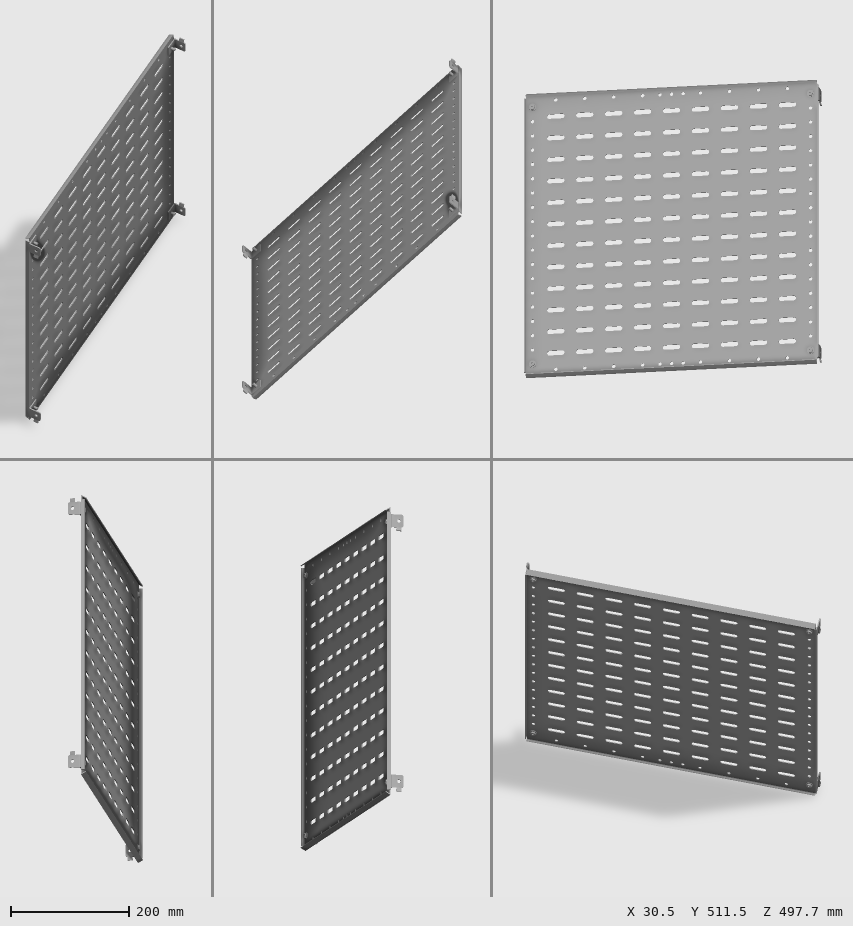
import cadquery as cq
import math


sheet = 1.5
panel_height = 497.66
lip_width = 502.0
lip_depth = 8.52
lip_slope = math.radians(30)
flange_span = 507.0
flange_height = 480.0
flange_depth = 6.8

column_pitch = 50.0
columns = 9
row_pitch = 37.7
rows = 12
slot_length = 30.0
slot_width = 8.0
hole_diameter = 6.0
end_hole_z = 236.0
end_hole_offsets = [0, 20, 50, 100, 150, 200]
side_hole_y = 240.0
side_hole_pitch = 25.0
side_holes = 17

bolt_y = side_hole_y
bolt_z = side_hole_pitch * (side_holes + 1) / 2
bolt_diameter = 5.0
bolt_tip = 9.3
collar_diameter = 12.5
collar_height = 1.0
head_flats = 8.0
head_height = 4.0
socket_diameter = 3.0
socket_depth = 2.0

bracket_sheet = 2.0
bracket_height = 22.0
bracket_reach = 22.0
bracket_outer_y = 254.0
bracket_total_y = 511.5
pad_inner_y = 231.0
bracket_corner = 3.0
bracket_bend = 2.5
tab_x = 14.2
tab_width = 8.5
tab_length = 6.1
tab_lean = bracket_total_y / 2 - bracket_outer_y
bracket_hole_diameter = 6.0


def web_and_lips():
    """Upright web with a sloping lip, its free edge cut square, at its top and bottom ends."""
    crest_z = panel_height / 2
    lip_edge_z = crest_z - lip_depth * math.tan(lip_slope)
    edge_run = sheet * math.sin(lip_slope)
    edge_drop = sheet * math.cos(lip_slope)

    inner_corner_z = crest_z - sheet * math.tan(lip_slope) - sheet / math.cos(lip_slope)

    half = (
        cq.Workplane("XZ", origin=(0, lip_width / 2, 0))
        .polyline([
            (0, 0),
            (0, crest_z),
            (-lip_depth, lip_edge_z),
            (edge_run - lip_depth, lip_edge_z - edge_drop),
            (-sheet, inner_corner_z),
            (-sheet, 0),
        ])
        .close()
        .extrude(lip_width)
    )
    return half.union(half.mirror("XY"))


def side_flange():
    """Flange at +Y, folded forward from the web and running back over its full thickness."""
    outer_y = flange_span / 2
    flange = cq.Workplane("XY").box(flange_depth, sheet, flange_height)
    flange = flange.translate((-flange_depth / 2, outer_y - sheet / 2, 0))
    root_width = (flange_span - lip_width) / 2
    root = cq.Workplane("XY").box(sheet, root_width, flange_height)
    return flange.union(root.translate((-sheet / 2, outer_y - root_width / 2, 0)))


def on_web(points):
    """Workplane on the front of the web holding the given (Y, Z) points."""
    return cq.Workplane("YZ", origin=(-sheet, 0, 0)).pushPoints(points)


def make_panel():
    flange = side_flange()
    panel = web_and_lips().union(flange).union(flange.mirror("XZ")).clean()

    slot_centres = [
        ((column - (columns - 1) / 2) * column_pitch, (row - (rows - 1) / 2) * row_pitch)
        for column in range(columns)
        for row in range(rows)
    ]
    end_centres = {
        (side * offset, end * end_hole_z)
        for offset in end_hole_offsets
        for side in (-1, 1)
        for end in (-1, 1)
    }
    side_centres = [
        (side * side_hole_y, (index - (side_holes - 1) / 2) * side_hole_pitch)
        for index in range(side_holes)
        for side in (-1, 1)
    ]
    bolt_centres = [(side * bolt_y, end * bolt_z) for side in (-1, 1) for end in (-1, 1)]

    return (
        panel
        .cut(on_web(slot_centres).slot2D(slot_length, slot_width).extrude(sheet))
        .cut(on_web(sorted(end_centres) + side_centres).circle(hole_diameter / 2).extrude(sheet))
        .cut(on_web(bolt_centres).circle(bolt_diameter / 2).extrude(sheet))
    )


def make_bolt():
    """Flanged hex bolt at Y = Z = 0, its head on the front of the web."""
    head_top_x = -sheet - head_height
    head_corners = head_flats / math.cos(math.pi / 6)
    collar = (
        cq.Workplane("YZ", origin=(-sheet - collar_height, 0, 0))
        .circle(collar_diameter / 2)
        .extrude(collar_height)
    )
    head = cq.Workplane("YZ", origin=(head_top_x, 0, 0)).polygon(6, head_corners).extrude(head_height)
    socket = cq.Workplane("YZ", origin=(head_top_x, 0, 0)).circle(socket_diameter / 2).extrude(socket_depth)
    shank = cq.Workplane("YZ", origin=(-sheet, 0, 0)).circle(bolt_diameter / 2).extrude(sheet + bolt_tip)
    return collar.union(head).cut(socket).union(shank)


def bracket_tab():
    """Tab on the top edge, leaning outward."""
    root_z = bracket_height / 2
    tip_z = root_z + tab_length
    tip_rise = bracket_sheet * tab_lean / math.hypot(tab_lean, tab_length)
    inner_y = bracket_outer_y - bracket_sheet
    return (
        cq.Workplane("YZ", origin=(tab_x - tab_width / 2, 0, 0))
        .polyline([
            (inner_y, root_z),
            (bracket_outer_y, root_z),
            (bracket_outer_y + tab_lean, tip_z),
            (inner_y + tab_lean, tip_z + tip_rise),
        ])
        .close()
        .extrude(tab_width)
    )


def make_bracket():
    """Angle bracket for the +Y side, centred on Z = 0: a pad behind the panel and an outstanding plate."""
    inner_radius = bracket_bend - bracket_sheet
    inner_y = bracket_outer_y - bracket_sheet
    angle = (
        cq.Workplane("XY", origin=(0, 0, -bracket_height / 2))
        .moveTo(0, pad_inner_y)
        .lineTo(0, bracket_outer_y - bracket_bend)
        .radiusArc((bracket_bend, bracket_outer_y), bracket_bend)
        .lineTo(bracket_reach, bracket_outer_y)
        .lineTo(bracket_reach, inner_y)
        .lineTo(bracket_bend, inner_y)
        .radiusArc((bracket_sheet, inner_y - inner_radius), -inner_radius)
        .lineTo(bracket_sheet, pad_inner_y)
        .close()
        .extrude(bracket_height)
        .edges(">X and |Y").fillet(bracket_corner)
    )
    plate_hole = (
        cq.Workplane("XZ", origin=(tab_x, bracket_outer_y, 0))
        .circle(bracket_hole_diameter / 2)
        .extrude(bracket_sheet)
    )
    bolt_hole = (
        cq.Workplane("YZ", origin=(0, bolt_y, 0))
        .circle(bolt_diameter / 2)
        .extrude(bracket_sheet)
    )
    return angle.union(bracket_tab()).cut(plate_hole).cut(bolt_hole)


panel = make_panel()

bolts = []
brackets = []
for side, turn in ((1, 0), (-1, 180)):
    for end in (-1, 1):
        bolts.append(make_bolt().translate((0, side * bolt_y, end * bolt_z)))
        bracket = make_bracket().rotate((0, 0, 0), (1, 0, 0), turn)
        brackets.append(bracket.translate((0, 0, end * bolt_z)))

result = cq.Compound.makeCompound(
    [panel.val()] + [bolt.val() for bolt in bolts] + [bracket.val() for bracket in brackets]
)